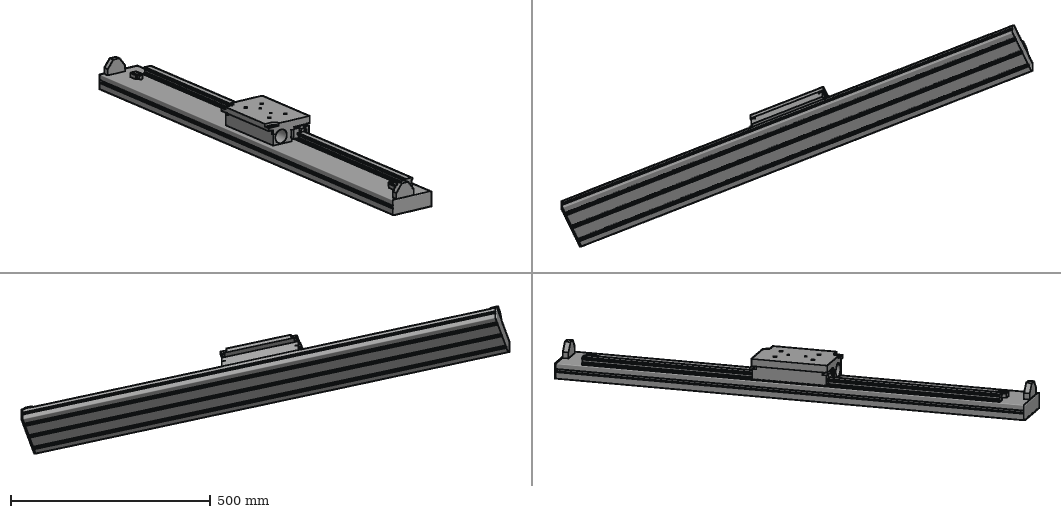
import cadquery as cq

total_length = 1240.0
overall_height = 99.0

base_width = 120.0
base_height = 40.0
cap_thickness = 4.0
edge_radius = 2.0
cap_face_radius = 1.8
base_length = total_length - 2 * cap_thickness

slot_mouth = 8.0
slot_lip = 5.0
slot_cavity = 18.0
slot_bottom = 10.0
slot_depth = 13.0
side_slot_z = 21.5
bottom_slot_pitch = 40.0

rail_length = 1100.0
rail_y = 40.0
rail_width = 23.0
rail_waist = 17.0
rail_height = 20.0
rail_foot = 7.0
rail_head = 7.0
rail_top_chamfer = 2.0
rail_top = base_height + rail_height
runner_width = 48.0
runner_length = 195.0
runner_bottom = 46.0
runner_top = 80.0
runner_end_length = 10.0
runner_clearance = 0.5

nipple_width = 14.0
nipple_z = (64.5, 73.0)
nipple_end = 107.0
nipple_tip_width = 5.0
nipple_tip_height = 5.5
nipple_tip_end = 110.0

carriage_length = 200.0
carriage_width = 128.1
overhang_thickness = 15.0
shoulder_z = 73.0
housing_y = (-50.0, 5.5)
housing_bottom = 43.0
housing_foot_width = 3.0
housing_foot_top = 53.0
bore_diameter = 36.0
bore_y = -25.5
bore_z = 63.0

mount_hole_diameter = 6.65
mount_hole_countersink = 8.08
mount_hole_depth = 12.0
countersink_angle = 90.0
mount_hole_spacing = (100.0, 50.0)
pin_hole_diameter = 5.02
pin_hole_depth = 10.0
pin_hole_spacing = 45.0

pocket_length = 16.0
pocket_width = 32.0
pocket_depth = 7.0
pocket_radius = 10.0
pocket_hole_diameter = 6.65
pocket_hole_inset = 6.0
pocket_hole_y = -45.5
pocket_hole_bottom = 71.5
edge_hole_y = -57.0

end_block_x = (600.0, 615.0)
end_block_y = -20.5
end_block_width = 54.0
end_block_flat = 20.0
end_block_shoulder_z = 56.0
end_block_top = 78.0

stop_x = (532.0, 555.0)
stop_width = 20.0
stop_top_width = 12.0
stop_height = 12.0
stop_side_height = 10.5
buffer_diameter = 12.0
buffer_end = 524.0


def box_between(x, y, z):
    """Box spanning the given (low, high) ranges."""
    return (
        cq.Workplane("XY")
        .box(x[1] - x[0], y[1] - y[0], z[1] - z[0], centered=False)
        .translate((x[0], y[0], z[0]))
    )


def extrude_section(sketch, length):
    """Extrude a section drawn in YZ by length, centred on X = 0."""
    return sketch.extrude(length / 2, both=True)


def slot_section():
    """T-slot section with its mouth on the Y axis and its depth along +Z."""
    return (
        cq.Workplane("YZ")
        .moveTo(-slot_mouth / 2, 0)
        .lineTo(-slot_mouth / 2, slot_lip)
        .lineTo(-slot_cavity / 2, slot_lip)
        .lineTo(-slot_bottom / 2, slot_depth)
        .lineTo(slot_bottom / 2, slot_depth)
        .lineTo(slot_cavity / 2, slot_lip)
        .lineTo(slot_mouth / 2, slot_lip)
        .lineTo(slot_mouth / 2, 0)
        .close()
    )


def make_end_block():
    """Faceted block standing near the +X end of the base."""
    half = end_block_width / 2
    half_flat = end_block_flat / 2
    return (
        cq.Workplane("YZ", origin=(end_block_x[0], end_block_y, 0))
        .polyline([
            (-half, base_height),
            (-half, end_block_shoulder_z),
            (-half_flat, end_block_top),
            (half_flat, end_block_top),
            (half, end_block_shoulder_z),
            (half, base_height),
        ])
        .close()
        .extrude(end_block_x[1] - end_block_x[0])
    )


def make_stop():
    """Bevelled stop block near the +X end, its buffer pointing to the carriage."""
    block = (
        cq.Workplane("YZ", origin=(stop_x[0], 0, base_height))
        .polyline([
            (-stop_width / 2, 0),
            (-stop_width / 2, stop_side_height),
            (-stop_top_width / 2, stop_height),
            (stop_top_width / 2, stop_height),
            (stop_width / 2, stop_side_height),
            (stop_width / 2, 0),
        ])
        .close()
        .extrude(stop_x[1] - stop_x[0])
    )
    buffer = (
        cq.Workplane("YZ", origin=(buffer_end, 0, base_height + buffer_diameter / 2))
        .circle(buffer_diameter / 2)
        .extrude(stop_x[0] - buffer_end)
    )
    return block.union(buffer)


def make_base():
    """Slotted profile with the end blocks and stops at both ends."""
    base = (
        cq.Workplane("XY")
        .box(base_length, base_width, base_height, centered=(True, True, False))
        .edges("|X")
        .fillet(edge_radius)
    )
    slot = extrude_section(slot_section(), base_length)
    for y in (-bottom_slot_pitch, 0, bottom_slot_pitch):
        base = base.cut(slot.translate((0, y, 0)))
    for side in (-1, 1):
        turned = slot.rotate((0, 0, 0), (1, 0, 0), side * 90)
        base = base.cut(turned.translate((0, side * base_width / 2, side_slot_z)))
    for part in (make_end_block(), make_stop()):
        base = base.union(part).union(part.mirror("YZ"))
    return base


def make_cap(side):
    """End cap at the -X (side -1) or +X (side 1) end of the base."""
    cap = (
        cq.Workplane("XY")
        .box(cap_thickness, base_width, base_height, centered=(True, True, False))
        .edges("|X")
        .fillet(edge_radius)
        .faces(">X" if side > 0 else "<X")
        .edges()
        .fillet(cap_face_radius)
    )
    return cap.translate((side * (total_length - cap_thickness) / 2, 0, 0))


def rail_section(clearance):
    """Waisted rail section, grown by the clearance on its sides and top."""
    half = rail_width / 2 + clearance
    half_waist = rail_waist / 2 + clearance
    waist_low = base_height + rail_foot
    waist_high = rail_top - rail_head
    bevel = (rail_width - rail_waist) / 2
    right = [
        (half, base_height),
        (half, waist_low - bevel),
        (half_waist, waist_low),
        (half_waist, waist_high),
        (half, waist_high + bevel),
        (half, rail_top - rail_top_chamfer + clearance),
        (half - rail_top_chamfer, rail_top + clearance),
    ]
    left = [(-y, z) for y, z in reversed(right)]
    return cq.Workplane("YZ", origin=(0, rail_y, 0)).polyline(right + left).close()


def make_runner():
    """Runner straddling the rail, with a lower end part and a grease nipple at each end."""
    y = (rail_y - runner_width / 2, rail_y + runner_width / 2)
    half_length = runner_length / 2
    runner = box_between((-half_length, half_length), y, (runner_bottom, runner_top))
    runner = runner.cut(extrude_section(rail_section(runner_clearance), runner_length))
    end_step = box_between(
        (half_length - runner_end_length, half_length), y, (shoulder_z, runner_top)
    )
    runner = runner.cut(end_step).cut(end_step.mirror("YZ"))
    body = box_between(
        (half_length, nipple_end),
        (rail_y - nipple_width / 2, rail_y + nipple_width / 2),
        nipple_z,
    )
    tip = box_between(
        (nipple_end, nipple_tip_end),
        (rail_y + nipple_width / 2 - nipple_tip_width, rail_y + nipple_width / 2),
        (nipple_z[0], nipple_z[0] + nipple_tip_height),
    )
    nipple = body.union(tip)
    return runner.union(nipple).union(nipple.mirror("YZ"))


def carriage_section():
    """Carriage section: thin front overhang, bored housing, shoulder and runner seat."""
    half = carriage_width / 2
    overhang_z = overall_height - overhang_thickness
    seat_y = rail_y - runner_width / 2
    foot_y = housing_y[1] + housing_foot_width
    return (
        cq.Workplane("YZ")
        .polyline([
            (-half, overall_height),
            (-half, overhang_z),
            (housing_y[0], overhang_z),
            (housing_y[0], housing_bottom),
            (foot_y, housing_bottom),
            (foot_y, housing_foot_top),
            (housing_y[1], housing_foot_top),
            (housing_y[1], shoulder_z),
            (seat_y, shoulder_z),
            (seat_y, runner_top),
            (half, runner_top),
            (half, overall_height),
        ])
        .close()
        .moveTo(bore_y, bore_z)
        .circle(bore_diameter / 2)
    )


def corner_pocket():
    """Screw pocket with a blind hole and a through hole at the +X front corner of the carriage."""
    x_end = carriage_length / 2
    y_end = -carriage_width / 2
    floor = overall_height - pocket_depth
    pocket = (
        box_between(
            (x_end - pocket_length, x_end),
            (y_end, y_end + pocket_width),
            (floor, overall_height),
        )
        .edges("|Z and <X and >Y")
        .fillet(pocket_radius)
    )
    hole_x = x_end - pocket_hole_inset
    blind_hole = (
        cq.Workplane("XY", origin=(hole_x, pocket_hole_y, floor))
        .circle(pocket_hole_diameter / 2)
        .extrude(pocket_hole_bottom - floor)
    )
    edge_hole = (
        cq.Workplane("XY", origin=(hole_x, edge_hole_y, floor))
        .circle(pocket_hole_diameter / 2)
        .extrude(pocket_depth - overhang_thickness)
    )
    return pocket.union(blind_hole).union(edge_hole)


def make_carriage():
    """Carriage with its top holes and corner pockets."""
    carriage = extrude_section(carriage_section(), carriage_length)
    carriage = (
        carriage.faces(">Z")
        .workplane(origin=(0, 0, overall_height))
        .rarray(mount_hole_spacing[0], mount_hole_spacing[1], 2, 2)
        .cskHole(mount_hole_diameter, mount_hole_countersink, countersink_angle, mount_hole_depth)
    )
    carriage = (
        carriage.faces(">Z")
        .workplane(origin=(0, 0, overall_height))
        .rarray(pin_hole_spacing, 1, 2, 1)
        .hole(pin_hole_diameter, pin_hole_depth)
    )
    pocket = corner_pocket()
    return carriage.cut(pocket).cut(pocket.mirror("YZ"))


base = make_base()
caps = [make_cap(side) for side in (-1, 1)]
rail = extrude_section(rail_section(0), rail_length)
runner = make_runner()
carriage = make_carriage()

result = cq.Compound.makeCompound([
    base.val(),
    *[cap.val() for cap in caps],
    rail.val(),
    runner.val(),
    carriage.val(),
])